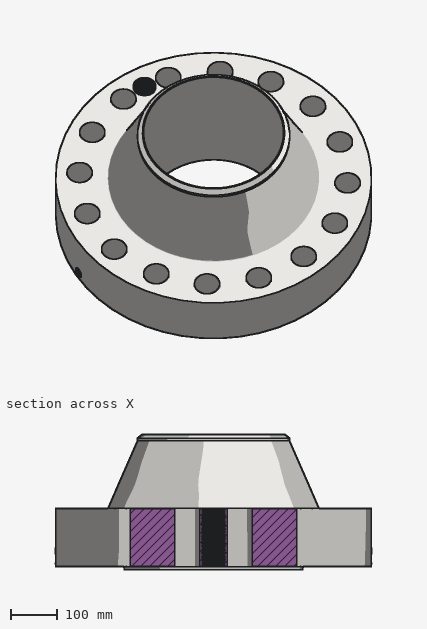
import cadquery as cq
import math

flange_dia = 673.0
raised_face_dia = 381.0
raised_face_height = 7.0
flange_top_z = 131.0

total_height = 289.0
bore_dia = 298.0
hub_root_dia = 449.5
hub_root_fillet = 2.0
weld_end_dia = 324.5
weld_land_dia = 303.0
weld_bevel_height = 8.0
weld_band_height = 6.0

bolt_count = 16
bolt_circle_dia = 571.5
bolt_hole_dia = 54.0

jack_major_dia = 48.5
jack_minor_dia = 44.5
jack_pitch = 5.0

tap_z = 24.0
tap_major_dia = 22.0
tap_minor_dia = 19.5
tap_pitch = 1.8
tap_thread_depth = 20.0
tap_hole_dia = 13.5

flange_radius = flange_dia / 2
bolt_circle_radius = bolt_circle_dia / 2
bevel_z = total_height - weld_bevel_height
band_z = bevel_z - weld_band_height


def make_body():
    """Revolve the half section of flange, hub and bore about Z."""
    section = (
        cq.Workplane("XZ")
        .moveTo(bore_dia / 2, 0)
        .lineTo(raised_face_dia / 2, 0)
        .lineTo(raised_face_dia / 2, raised_face_height)
        .lineTo(flange_radius, raised_face_height)
        .lineTo(flange_radius, flange_top_z)
        .lineTo(hub_root_dia / 2, flange_top_z)
        .lineTo(weld_end_dia / 2, band_z)
        .lineTo(weld_end_dia / 2, bevel_z)
        .lineTo(weld_land_dia / 2, total_height)
        .lineTo(bore_dia / 2, total_height)
        .close()
    )
    body = section.revolve(360, (0, 0, 0), (0, 1, 0))
    reach = (hub_root_dia + bolt_circle_dia) / 4
    low_corner = (-reach, -reach, raised_face_height)
    high_corner = (reach, reach, band_z)
    root_box = cq.selectors.BoxSelector(low_corner, high_corner, boundingbox=True)
    return body.edges(root_box).fillet(hub_root_fillet)


def make_bolt_holes():
    """Through holes that straddle the X and Y axes."""
    half_step = 180 / bolt_count
    return (
        cq.Workplane("XY")
        .polarArray(bolt_circle_radius, half_step, 360, bolt_count)
        .circle(bolt_hole_dia / 2)
        .extrude(flange_top_z)
    )


def make_threaded_hole(major_dia, minor_dia, pitch, length):
    """Hole along +Z from the origin with ring-shaped V threads, open to the major diameter at the mouth."""
    turns = math.floor(length / pitch)
    profile = cq.Workplane("XZ").lineTo(major_dia / 2, 0)
    for turn in range(turns):
        profile = profile.lineTo(minor_dia / 2, (turn + 0.5) * pitch)
        profile = profile.lineTo(major_dia / 2, (turn + 1) * pitch)
    profile = profile.lineTo(minor_dia / 2, (turns + 0.5) * pitch)
    profile = profile.lineTo(0, (turns + 0.5) * pitch).close()
    return profile.revolve(360, (0, 0, 0), (0, 1, 0))


def make_jack_screw_hole():
    """Threaded hole running from the flange top down through its underside."""
    hole = make_threaded_hole(jack_major_dia, jack_minor_dia, jack_pitch, flange_top_z)
    return hole.rotate((0, 0, 0), (1, 0, 0), 180).translate((-bolt_circle_radius, 0, flange_top_z))


def make_pressure_tap():
    """Tap on the -Y side: threaded socket from the rim, plain hole on into the bore."""
    socket = make_threaded_hole(tap_major_dia, tap_minor_dia, tap_pitch, tap_thread_depth)
    plain_hole = cq.Workplane("XY").circle(tap_hole_dia / 2).extrude((flange_dia - bore_dia) / 2 + tap_hole_dia)
    tap = socket.union(plain_hole)
    return tap.rotate((0, 0, 0), (1, 0, 0), -90).translate((0, -flange_radius, tap_z))


pressure_tap = make_pressure_tap()
result = (
    make_body()
    .cut(make_bolt_holes())
    .cut(make_jack_screw_hole())
    .cut(pressure_tap)
    .cut(pressure_tap.mirror("XZ"))
)